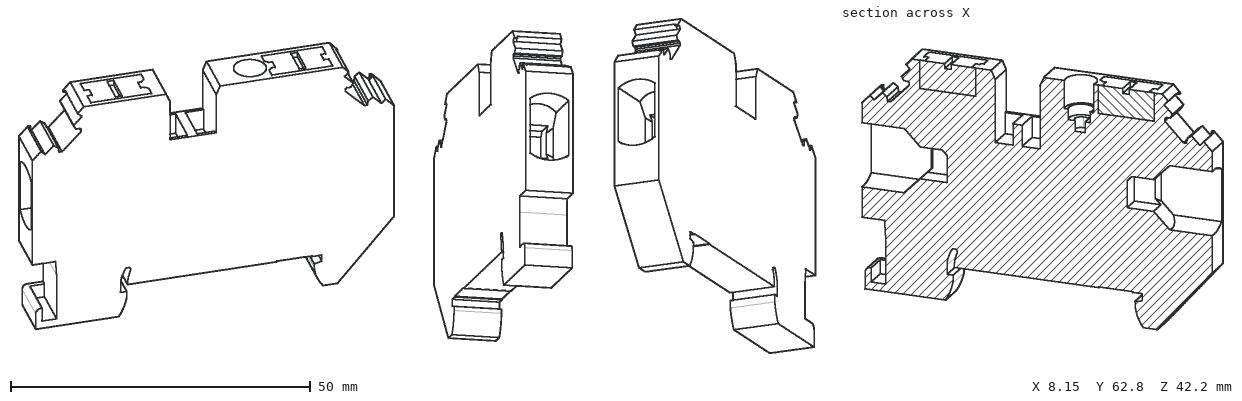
import cadquery as cq
import math

LENGTH = 62.8
HEIGHT = 42.2
THICKNESS = 8.15
HALF_LENGTH = LENGTH / 2
LEFT_FACE = -THICKNESS / 2

WALL = 0.55
TOP_EDGE = (22.5, HEIGHT)
SHOULDER_EDGE = (HALF_LENGTH, 33.15)
UPPER_TIP = (23.8, 40.75)
UPPER_LIP = (23.2, 40.75)
LOWER_TIP = (29.75, 34.85)
LOWER_LIP = [(29.45, 34.35), (29.45, 34.85)]
UPPER_CORE_REACH = 0.8
LOWER_CORE_REACH = 0.92
MIDDLE_TEETH = [
    (22.8, 40.3), (24.3, 38.8), (23.85, 38.05), (23.2, 38.05), (22.9, 37.8), (22.9, 37.4),
    (26.25, 34.05), (26.75, 34.05), (26.9, 34.85), (27.7, 35.5), (29.2, 34.0),
]

GAP_FAR = 0.5
GAP_NEAR = -7.5
GAP_FLOOR = 33.15
GAP_CHAMFER_Y = 0.7
GAP_CHAMFER_Z = 1.6

POCKET_WIDTH = 7.05
POCKET_LENGTH = 3.15
POCKET_DEPTH = 3.75

BASE = 6.0
RELIEF_DEPTH = 0.1
RELIEF_NEAR = 11.05
RELIEF_FAR = 17.15

OVERHANG_HEIGHT = 12.7
NECK_TOP = -27.4
NECK_BEND_HEIGHT = 10.0
TAB_ROOT = -27.2
TAB_HEIGHT = 3.95
TAB_END = -30.85
TAB_WALL = 0.9
TAB_GROOVE_DEPTH = 2.5
LIP_RADIUS = 0.95
LIP_THICKNESS = 1.1
FOOT_TOE = -16.4
FOOT_ARC = [(-15.45, 1.9), (-15.0, 3.45)]
FOOT_STEP_HEIGHT = 4.7
SLIT_OUTER = -16.1
SLIT_OUTER_START = 6.45
SLIT_OUTER_ARC = [(-15.75, 8.05), (-15.3, 9.05)]
SLIT_END_ARC = [(-14.8, 9.35), (-14.3, 8.85)]
SLIT_INNER_ARC = [(-14.7, 7.7), (-14.9, BASE)]

HOOK_ROOT = (18.85, 4.85)
HOOK_NOSE = [(17.5, 4.5), (17.5, 3.8)]
HOOK_ARC = [(18.0, 1.7), (19.0, 0)]
HOOK_HEEL = 21.55
SLOPE_TOP = 11.5

ENTRY_HEIGHT = 23.85
ENTRY_RADIUS = 11.5 / 2
ENTRY_WIDTH = 6.65
ENTRY_STRAIGHT = 7.55
FUNNEL_END_HALF_HEIGHT = 1.8
FUNNEL_DEPTH = ENTRY_RADIUS - FUNNEL_END_HALF_HEIGHT
SIDE_TAPER_DEPTH = 0.7
WIRE_WIDTH = 4.7
WIRE_HEIGHT = 5.6
WIRE_DEPTH = 3.75
WIRE_ROOF_CHAMFER = 0.8

SOCKET_Y = 7.55
SOCKET_DIAMETER = 5.45
SOCKET_DEPTH = 5.0
SOCKET_STEP_DIAMETER = 4.3
SOCKET_STEP_DEPTH = 6.9
KEY_DIAMETER = 2.2
KEY_DEPTH = 8.8

ACTUATOR_WIDTH = 6.3
ACTUATOR_INNER = 10.4
ACTUATOR_OUTER = 21.0
ACTUATOR_DEPTH = 5.0
NOTCH_HALF_WIDTH = 0.9
OUTER_NOTCH_DEPTH = 0.9
INNER_NOTCH_DEPTH = 1.25
NOTCH_CHAMFER = 0.6
SLOT_Y = 15.95
SLOT_WIDTH = 5.1
SLOT_LENGTH = 1.1
SLOT_DEPTH = 0.9


def point_along(start, end, fraction):
    return tuple(a + fraction * (b - a) for a, b in zip(start, end))


def plate(upper_tip, lower_tip, start_x, thickness):
    """Outline of the housing in the YZ plane, extruded along X."""
    shoulder = [TOP_EDGE, *upper_tip, *MIDDLE_TEETH, *lower_tip, SHOULDER_EDGE]
    near_shoulder = [(-y, z) for y, z in shoulder]
    far_shoulder = shoulder[::-1]
    gap_chamfer_height = HEIGHT - GAP_CHAMFER_Z
    gap = [
        (GAP_FAR + GAP_CHAMFER_Y, HEIGHT), (GAP_FAR, gap_chamfer_height), (GAP_FAR, GAP_FLOOR),
        (GAP_NEAR, GAP_FLOOR), (GAP_NEAR, gap_chamfer_height), (GAP_NEAR - GAP_CHAMFER_Y, HEIGHT),
    ]
    lip_arc_inset = LIP_RADIUS * (1 - math.cos(math.radians(45)))
    neck = [
        (-HALF_LENGTH, OVERHANG_HEIGHT), (NECK_TOP, OVERHANG_HEIGHT), (TAB_ROOT, NECK_BEND_HEIGHT),
        (TAB_ROOT, TAB_HEIGHT), (TAB_END + LIP_RADIUS, TAB_HEIGHT),
    ]
    relief_height = BASE + RELIEF_DEPTH
    return (
        cq.Workplane("YZ", origin=(start_x, 0, 0))
        .polyline(far_shoulder + gap + near_shoulder + neck)
        .threePointArc((TAB_END + lip_arc_inset, TAB_HEIGHT - lip_arc_inset),
                       (TAB_END, TAB_HEIGHT - LIP_RADIUS))
        .lineTo(TAB_END, 0)
        .lineTo(FOOT_TOE, 0)
        .threePointArc(*FOOT_ARC)
        .lineTo(FOOT_ARC[-1][0], FOOT_STEP_HEIGHT)
        .lineTo(SLIT_OUTER, FOOT_STEP_HEIGHT)
        .lineTo(SLIT_OUTER, SLIT_OUTER_START)
        .threePointArc(*SLIT_OUTER_ARC)
        .threePointArc(*SLIT_END_ARC)
        .threePointArc(*SLIT_INNER_ARC)
        .lineTo(RELIEF_NEAR, BASE)
        .lineTo(RELIEF_NEAR, relief_height)
        .lineTo(RELIEF_FAR, relief_height)
        .lineTo(RELIEF_FAR, BASE)
        .lineTo(HOOK_ROOT[0], BASE)
        .lineTo(*HOOK_ROOT)
        .lineTo(*HOOK_NOSE[0])
        .lineTo(*HOOK_NOSE[1])
        .threePointArc(*HOOK_ARC)
        .lineTo(HOOK_HEEL, 0)
        .lineTo(HALF_LENGTH, SLOPE_TOP)
        .close()
        .extrude(thickness)
    )


def top_block(width, length, depth, centre_y, top=HEIGHT):
    """Upright box centred on X whose upper face is at the given height."""
    return cq.Workplane("XY", origin=(0, centre_y, top - depth)).rect(width, length).extrude(depth)


def tab_groove():
    """Groove behind the round lip of the tab, closed by a wall at -X and open at +X."""
    lip_inner = TAB_END + LIP_THICKNESS
    return cq.Workplane("XY").box(
        THICKNESS - TAB_WALL, TAB_ROOT - lip_inner, TAB_GROOVE_DEPTH, centered=False
    ).translate((LEFT_FACE + TAB_WALL, lip_inner, TAB_HEIGHT - TAB_GROOVE_DEPTH))


def floor_pockets():
    far = top_block(POCKET_WIDTH, POCKET_LENGTH, POCKET_DEPTH, GAP_FAR - POCKET_LENGTH / 2, GAP_FLOOR)
    near = top_block(POCKET_WIDTH, POCKET_LENGTH, POCKET_DEPTH, GAP_NEAR + POCKET_LENGTH / 2, GAP_FLOOR)
    return far.union(near)


def wire_entry():
    """Flat-sided round mouth at the -Y end, a wedge funnel, then a rectangular wire hole."""
    mouth = -HALF_LENGTH
    funnel_start = mouth + ENTRY_STRAIGHT
    funnel_end = funnel_start + FUNNEL_DEPTH
    taper_start = funnel_end - SIDE_TAPER_DEPTH
    funnel_floor = ENTRY_HEIGHT - FUNNEL_END_HALF_HEIGHT
    funnel_roof = ENTRY_HEIGHT + FUNNEL_END_HALF_HEIGHT
    mouth_floor = ENTRY_HEIGHT - ENTRY_RADIUS
    mouth_roof = ENTRY_HEIGHT + ENTRY_RADIUS
    round_mouth = (
        cq.Workplane("XZ", origin=(0, mouth, ENTRY_HEIGHT))
        .circle(ENTRY_RADIUS)
        .extrude(mouth - funnel_end)
    )
    wedge = (
        cq.Workplane("YZ")
        .polyline([(mouth, mouth_floor), (funnel_start, mouth_floor), (funnel_end, funnel_floor),
                   (funnel_end, funnel_roof), (funnel_start, mouth_roof), (mouth, mouth_roof)])
        .close()
        .extrude(ENTRY_WIDTH / 2, both=True)
    )
    side_limits = (
        cq.Workplane("XY", origin=(0, 0, mouth_floor))
        .polyline([(ENTRY_WIDTH / 2, mouth), (ENTRY_WIDTH / 2, taper_start), (WIRE_WIDTH / 2, funnel_end),
                   (-WIRE_WIDTH / 2, funnel_end), (-ENTRY_WIDTH / 2, taper_start), (-ENTRY_WIDTH / 2, mouth)])
        .close()
        .extrude(2 * ENTRY_RADIUS)
    )
    wire_floor = ENTRY_HEIGHT - WIRE_HEIGHT / 2
    wire_roof = ENTRY_HEIGHT + WIRE_HEIGHT / 2
    wire_end = funnel_end + WIRE_DEPTH
    wire_hole = (
        cq.Workplane("YZ")
        .polyline([(funnel_start, wire_floor), (wire_end, wire_floor),
                   (wire_end, wire_roof - WIRE_ROOF_CHAMFER),
                   (wire_end - WIRE_ROOF_CHAMFER, wire_roof), (funnel_start, wire_roof)])
        .close()
        .extrude(WIRE_WIDTH / 2, both=True)
    )
    return round_mouth.intersect(wedge).intersect(side_limits).union(wire_hole)


def socket_bore(diameter, depth):
    return cq.Workplane("XY", origin=(0, SOCKET_Y, HEIGHT - depth)).circle(diameter / 2).extrude(depth)


def test_socket():
    """Stepped round socket ending in a D-shaped hole, flat towards +Y."""
    key_half = top_block(KEY_DIAMETER, KEY_DIAMETER / 2, KEY_DEPTH, SOCKET_Y + KEY_DIAMETER / 4)
    return (
        socket_bore(SOCKET_DIAMETER, SOCKET_DEPTH)
        .union(socket_bore(SOCKET_STEP_DIAMETER, SOCKET_STEP_DEPTH))
        .union(socket_bore(KEY_DIAMETER, KEY_DEPTH))
        .union(key_half)
    )


def actuator_block():
    """Notched block that fills the actuator recess of the far (+Y) top block."""
    half_width = ACTUATOR_WIDTH / 2
    outer_notch = ACTUATOR_OUTER - OUTER_NOTCH_DEPTH
    inner_notch = ACTUATOR_INNER + INNER_NOTCH_DEPTH
    right_side = [
        (NOTCH_HALF_WIDTH, inner_notch),
        (NOTCH_HALF_WIDTH, ACTUATOR_INNER + NOTCH_CHAMFER),
        (NOTCH_HALF_WIDTH + NOTCH_CHAMFER, ACTUATOR_INNER),
        (half_width, ACTUATOR_INNER),
        (half_width, ACTUATOR_OUTER),
        (NOTCH_HALF_WIDTH, ACTUATOR_OUTER),
        (NOTCH_HALF_WIDTH, outer_notch),
    ]
    left_side = [(-x, y) for x, y in reversed(right_side)]
    return (
        cq.Workplane("XY", origin=(0, 0, HEIGHT - ACTUATOR_DEPTH))
        .polyline(right_side + left_side)
        .close()
        .extrude(ACTUATOR_DEPTH)
    )


def at_end(shape, is_far, modelled_far):
    """Shape as modelled, or mirrored to the opposite end."""
    if is_far == modelled_far:
        return shape
    return shape.mirror("XZ")


def make_housing():
    upper_core_tip = point_along(TOP_EDGE, UPPER_TIP, UPPER_CORE_REACH)
    lower_core_tip = point_along(SHOULDER_EDGE, LOWER_TIP, LOWER_CORE_REACH)
    wall = plate([UPPER_TIP, UPPER_LIP], [*LOWER_LIP, LOWER_TIP], LEFT_FACE, WALL)
    core = plate([upper_core_tip], [lower_core_tip], LEFT_FACE + WALL, THICKNESS - WALL)
    body = wall.union(core).cut(tab_groove()).cut(floor_pockets()).cut(test_socket())
    for is_far in (True, False):
        body = body.cut(at_end(wire_entry(), is_far, modelled_far=False))
        body = body.cut(at_end(actuator_block(), is_far, modelled_far=True))
    return body


def make_actuator(is_far):
    slot = top_block(SLOT_WIDTH, SLOT_LENGTH, SLOT_DEPTH, SLOT_Y)
    return at_end(actuator_block().cut(slot), is_far, modelled_far=True)


housing = make_housing()
actuators = [make_actuator(is_far) for is_far in (True, False)]

result = cq.Compound.makeCompound([housing.val(), *[actuator.val() for actuator in actuators]])